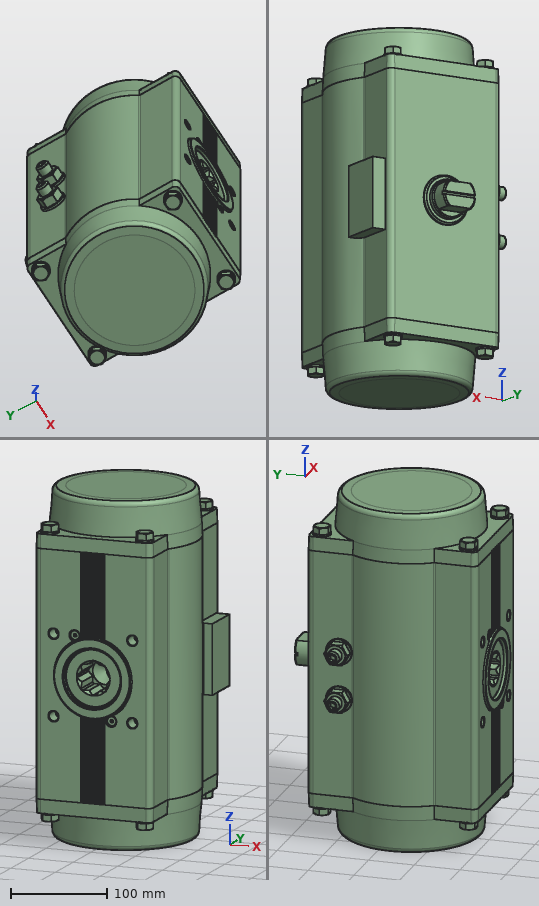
import cadquery as cq
import math


CYLINDER_RADIUS = 80.0
BLOCK_DEPTH = 92.5
BACK_HALF_WIDTH = 68.0
FRONT_HALF_WIDTH = 65.5
CORNER_RADIUS = 6.5
BLEND_RADIUS = 3.7
HOUSING_HALF_LENGTH = 134.0

PAD_END_X = 83.0
PAD_Y = (35.0, 84.0)
PAD_HALF_LENGTH = 38.0
PAD_RELIEF = 5.2

GROOVE_COUNT = 11
GROOVE_PITCH = 2.45
GROOVE_DEPTH = 0.7

MOUNT_HALF_SPACING = 44.0
MOUNT_DIAMETER = 10.5
MOUNT_DEPTH = 18.7
MOUTH_DIAMETER = 12.0
DRILL_POINT_ANGLE = 118
RING_HOLE_X = 20.5
RING_HOLE_DIAMETER = 10.0
RING_HOLE_DEPTH = 1.5
RING_PILOT_DIAMETER = 3.0
RING_PILOT_DEPTH = 5.5

FLANGE_THICKNESS = 15.5
FLANGE_DRAFT = 2.5
CAP_END = 187.0
CAP_RIM_RADIUS = 76.7
CAP_RIM_Z = 181.5
CAP_SHOULDER_RADIUS = 72.5
CAP_SHOULDER_Z = 186.7
CAP_FACE_RADIUS = 63.0

BOLT_BACK_X = 56.0
BOLT_FRONT_X = 53.0
BOLT_Y = 79.7
BOLT_WASHER_DIAMETER = 19.0
BOLT_WASHER_THICKNESS = 2.0
BOLT_HEX_CORNERS = 19.0
BOLT_HEAD_HEIGHT = 7.5

HEX_TOP_RATIO = 0.82
HEX_CHAMFER_ANGLE = 30

RING_DIAMETER = 85.7
RING_RECESS_DIAMETER = 88.0
RING_FACE_Y = -95.0
RING_DEPTH = 7.5
RING_OUTER_CHAMFER = 0.7
RING_BORE_CHAMFER = 0.95

JOURNAL_DIAMETER = 64.5
JOURNAL_FACE_Y = -91.3
JOURNAL_LENGTH = 52.5
JOURNAL_CHAMFER = 2.0
SHAFT_DIAMETER = 39.0
SHAFT_END_Y = 122.0
SHAFT_CHAMFER = 1.5
FLATS_WIDTH = 27.0
FLATS_START_Y = 102.0
SLOT_WIDTH = 3.5
SLOT_DEPTH = 3.7
SOCKET_SQUARE = 28.0
SOCKET_MOUTH_DIAMETER = 37.5
SOCKET_DEPTH = 33.5

WASHER_DIAMETER = 53.0
WASHER_THICKNESS = 3.5
WASHER_CHAMFER = 2.0
SNAP_DIAMETER = 42.0
SNAP_THICKNESS = 6.5
SNAP_CHAMFER = 1.5

STOP_Y = 57.0
STOP_HALF_SPACING = 26.2
STOP_END_X = -92.8
STOP_DIAMETER = 14.2
STOP_CHAMFER = 2.0
STOP_EMBEDDED = 22.5
STOP_SOCKET_CORNERS = 8.2
STOP_SOCKET_DEPTH = 5.5
STOP_WASHER_DIAMETER = 28.0
STOP_WASHER_THICKNESS = 2.5
STOP_NUT_CORNERS = 26.0
STOP_NUT_HEIGHT = 11.0


def cylinder_y(diameter, y_start, y_end, x=0, z=0):
    """Cylinder along Y between two Y positions."""
    base = cq.Plane(origin=(x, y_start, z), xDir=(1, 0, 0), normal=(0, 1, 0))
    return cq.Workplane(base).circle(diameter / 2).extrude(y_end - y_start)


def cone_y(base_diameter, tip_diameter, y_start, x=0, z=0):
    """45-degree countersink tool narrowing from y_start in +Y."""
    height = (base_diameter - tip_diameter) / 2
    profile = [(0, 0), (base_diameter / 2, 0), (tip_diameter / 2, height), (0, height)]
    cone = cq.Workplane("XY").polyline(profile).close().revolve(360, (0, 0, 0), (0, 1, 0))
    return cone.translate((x, y_start, z))


def drilled_hole(diameter, depth, x, z, y_face):
    """Hole tool going in +Y from y_face, ending in a drill point."""
    radius = diameter / 2
    point = radius / math.tan(math.radians(DRILL_POINT_ANGLE / 2))
    profile = cq.Workplane("XY").polyline([(0, 0), (radius, 0), (radius, depth), (0, depth + point)]).close()
    return profile.revolve(360, (0, 0, 0), (0, 1, 0)).translate((x, y_face, z))


def chamfered_hexagon(corners, height):
    """Hexagonal prism along +Z, the corners of its far end turned off at a slope of 30 degrees."""
    top_radius = HEX_TOP_RATIO * corners / 2
    drop = (corners / 2 - top_radius) * math.tan(math.radians(HEX_CHAMFER_ANGLE))
    profile = [(0, 0), (corners / 2, 0), (corners / 2, height - drop), (top_radius, height), (0, height)]
    turned = cq.Workplane("XZ").polyline(profile).close().revolve(360, (0, 0, 0), (0, 1, 0))
    return cq.Workplane("XY").polygon(6, corners).extrude(height).intersect(turned)


def body_profile(length, draft):
    """Cylinder and two corner-rounded blocks along +Z, narrowing by the draft angle."""
    solid = cq.Workplane("XY").circle(CYLINDER_RADIUS).extrude(length, taper=draft)
    for half_width, side in ((BACK_HALF_WIDTH, 1), (FRONT_HALF_WIDTH, -1)):
        outline = cq.Sketch().rect(2 * half_width, BLOCK_DEPTH).vertices().fillet(CORNER_RADIUS)
        block = cq.Workplane("XY").center(0, side * BLOCK_DEPTH / 2).placeSketch(outline)
        solid = solid.union(block.extrude(length, taper=draft))
    return solid


def pinion_blank():
    """Journal and shaft without socket, flats or slot."""
    journal = cylinder_y(JOURNAL_DIAMETER, JOURNAL_FACE_Y, JOURNAL_FACE_Y + JOURNAL_LENGTH)
    shaft = cylinder_y(SHAFT_DIAMETER, JOURNAL_FACE_Y, SHAFT_END_Y)
    return journal.faces("<Y").chamfer(JOURNAL_CHAMFER).union(shaft.faces(">Y").chamfer(SHAFT_CHAMFER))


def make_pinion():
    pinion = pinion_blank()
    flats_length = SHAFT_END_Y - FLATS_START_Y
    for side in (1, -1):
        z = side * (FLATS_WIDTH + SHAFT_DIAMETER) / 2
        waste = cq.Workplane("XY").box(2 * SHAFT_DIAMETER, flats_length, SHAFT_DIAMETER)
        pinion = pinion.cut(waste.translate((0, FLATS_START_Y + flats_length / 2, z)))
    slot = cq.Workplane("XY").box(2 * SHAFT_DIAMETER, 2 * SLOT_DEPTH, SLOT_WIDTH)
    pinion = pinion.cut(slot.translate((0, SHAFT_END_Y, 0)))

    square = cq.Workplane("XY").box(SOCKET_SQUARE, SOCKET_DEPTH, SOCKET_SQUARE)
    square = square.translate((0, JOURNAL_FACE_Y + SOCKET_DEPTH / 2, 0))
    star = square.union(square.rotate((0, 0, 0), (0, 1, 0), 45))
    star = star.intersect(cylinder_y(SOCKET_MOUTH_DIAMETER, JOURNAL_FACE_Y, JOURNAL_FACE_Y + SOCKET_DEPTH))
    pinion = pinion.cut(star)
    pinion = pinion.cut(drilled_hole(SOCKET_SQUARE, SOCKET_DEPTH, 0, 0, JOURNAL_FACE_Y))
    return pinion.cut(cone_y(SOCKET_MOUTH_DIAMETER, SOCKET_SQUARE, JOURNAL_FACE_Y))


def make_housing():
    housing = body_profile(2 * HOUSING_HALF_LENGTH, 0).translate((0, 0, -HOUSING_HALF_LENGTH))

    for half_width, side in ((BACK_HALF_WIDTH, 1), (FRONT_HALF_WIDTH, -1)):
        y = side * math.sqrt(CYLINDER_RADIUS**2 - half_width**2)
        for x in (half_width, -half_width):
            housing = housing.edges(cq.NearestToPointSelector((x, y, 0))).fillet(BLEND_RADIUS)

    pad_outline = [
        (0, PAD_Y[1]),
        (PAD_END_X, PAD_Y[1]),
        (PAD_END_X, PAD_Y[0]),
        (BACK_HALF_WIDTH + PAD_RELIEF, PAD_Y[0]),
        (BACK_HALF_WIDTH, PAD_Y[0] + PAD_RELIEF),
        (0, PAD_Y[0] + PAD_RELIEF),
    ]
    pad = cq.Workplane("XY").polyline(pad_outline).close().extrude(PAD_HALF_LENGTH, both=True)
    housing = housing.union(pad)

    groove_points = [(-GROOVE_COUNT * GROOVE_PITCH / 2, -BLOCK_DEPTH)]
    for i in range(GROOVE_COUNT):
        left = (i - GROOVE_COUNT / 2) * GROOVE_PITCH
        groove_points.append((left + GROOVE_PITCH / 2, GROOVE_DEPTH - BLOCK_DEPTH))
        groove_points.append((left + GROOVE_PITCH, -BLOCK_DEPTH))
    grooves = cq.Workplane("XY").polyline(groove_points).close().extrude(HOUSING_HALF_LENGTH, both=True)
    housing = housing.cut(grooves)

    for x in (MOUNT_HALF_SPACING, -MOUNT_HALF_SPACING):
        for z in (MOUNT_HALF_SPACING, -MOUNT_HALF_SPACING):
            housing = housing.cut(cone_y(MOUTH_DIAMETER, MOUNT_DIAMETER, -BLOCK_DEPTH, x, z))
            housing = housing.cut(drilled_hole(MOUNT_DIAMETER, MOUNT_DEPTH, x, z, -BLOCK_DEPTH))

    for side in (1, -1):
        x, z = -side * RING_HOLE_X, side * MOUNT_HALF_SPACING
        housing = housing.cut(cone_y(MOUTH_DIAMETER, RING_HOLE_DIAMETER, -BLOCK_DEPTH, x, z))
        floor_y = RING_HOLE_DEPTH - BLOCK_DEPTH
        housing = housing.cut(cylinder_y(RING_HOLE_DIAMETER, -BLOCK_DEPTH, floor_y, x, z))
        housing = housing.cut(drilled_hole(RING_PILOT_DIAMETER, RING_PILOT_DEPTH, x, z, -BLOCK_DEPTH))

    housing = housing.cut(cylinder_y(RING_RECESS_DIAMETER, -BLOCK_DEPTH, RING_FACE_Y + RING_DEPTH))
    housing = housing.cut(cylinder_y(JOURNAL_DIAMETER, -BLOCK_DEPTH, JOURNAL_FACE_Y + JOURNAL_LENGTH))
    housing = housing.cut(pinion_blank())
    for z in (STOP_HALF_SPACING, -STOP_HALF_SPACING):
        housing = housing.cut(make_stop(z))
    return housing


def make_cap(end):
    """End cap with its bolt heads; end is 1 for the +Z cap and -1 for the -Z cap."""
    flange_top = HOUSING_HALF_LENGTH + FLANGE_THICKNESS
    cap = body_profile(FLANGE_THICKNESS, FLANGE_DRAFT).translate((0, 0, HOUSING_HALF_LENGTH))
    base_radius = CYLINDER_RADIUS - FLANGE_THICKNESS * math.tan(math.radians(FLANGE_DRAFT))
    dome = (
        cq.Workplane("XZ")
        .moveTo(0, HOUSING_HALF_LENGTH)
        .lineTo(base_radius, HOUSING_HALF_LENGTH)
        .lineTo(base_radius, flange_top)
        .lineTo(CAP_RIM_RADIUS, CAP_RIM_Z)
        .tangentArcPoint((CAP_SHOULDER_RADIUS, CAP_SHOULDER_Z), relative=False)
        .lineTo(CAP_FACE_RADIUS, CAP_END)
        .lineTo(0, CAP_END)
        .close()
        .revolve(360, (0, 0, 0), (0, 1, 0))
    )
    cap = cap.union(dome)
    washer = cq.Workplane("XY").circle(BOLT_WASHER_DIAMETER / 2).extrude(BOLT_WASHER_THICKNESS)
    hexagon = chamfered_hexagon(BOLT_HEX_CORNERS, BOLT_HEAD_HEIGHT).translate((0, 0, BOLT_WASHER_THICKNESS))
    bolt_head = washer.union(hexagon)
    for x, y in ((BOLT_BACK_X, BOLT_Y), (BOLT_FRONT_X, -BOLT_Y)):
        for side in (1, -1):
            cap = cap.union(bolt_head.translate((side * x, y, flange_top)))
    return cap if end > 0 else cap.mirror("XY")


def make_centring_ring():
    inner_end = RING_FACE_Y + RING_DEPTH
    ring = cylinder_y(RING_DIAMETER, RING_FACE_Y, inner_end).faces("<Y").chamfer(RING_OUTER_CHAMFER)
    bore = cylinder_y(JOURNAL_DIAMETER, RING_FACE_Y, inner_end)
    mouth = cone_y(JOURNAL_DIAMETER + 2 * RING_BORE_CHAMFER, JOURNAL_DIAMETER, RING_FACE_Y)
    return ring.cut(bore).cut(mouth)


def make_shaft_ring(diameter, y_start, thickness, chamfer):
    """Ring around the pinion shaft with its outer +Y edge chamfered."""
    ring = cylinder_y(diameter, y_start, y_start + thickness).faces(">Y").chamfer(chamfer)
    return ring.cut(cylinder_y(SHAFT_DIAMETER, y_start, y_start + thickness))


def make_stop(z):
    """Stop screw with its washer and lock nut, pointing in -X."""
    face_x = -BACK_HALF_WIDTH
    reach = face_x - STOP_END_X
    screw = cq.Workplane("XY").workplane(offset=-STOP_EMBEDDED).circle(STOP_DIAMETER / 2)
    screw = screw.extrude(STOP_EMBEDDED + reach).faces(">Z").chamfer(STOP_CHAMFER)
    washer = cq.Workplane("XY").circle(STOP_WASHER_DIAMETER / 2).extrude(STOP_WASHER_THICKNESS)
    nut = chamfered_hexagon(STOP_NUT_CORNERS, STOP_NUT_HEIGHT).rotate((0, 0, 0), (0, 0, 1), 90)
    nut = nut.translate((0, 0, STOP_WASHER_THICKNESS))
    socket = cq.Workplane("XY").workplane(offset=reach - STOP_SOCKET_DEPTH)
    socket = socket.polygon(6, STOP_SOCKET_CORNERS).extrude(STOP_SOCKET_DEPTH)
    stop = screw.union(washer).union(nut).cut(socket)
    return stop.rotate((0, 0, 0), (0, 1, 0), -90).translate((face_x, STOP_Y, z))


housing = make_housing()
caps = [make_cap(end) for end in (1, -1)]
pinion = make_pinion()
centring_ring = make_centring_ring()
thrust_washer = make_shaft_ring(WASHER_DIAMETER, BLOCK_DEPTH, WASHER_THICKNESS, WASHER_CHAMFER)
snap_ring = make_shaft_ring(SNAP_DIAMETER, BLOCK_DEPTH + WASHER_THICKNESS, SNAP_THICKNESS, SNAP_CHAMFER)
stops = [make_stop(z) for z in (STOP_HALF_SPACING, -STOP_HALF_SPACING)]

result = cq.Compound.makeCompound(
    [
        housing.val(),
        *[cap.val() for cap in caps],
        pinion.val(),
        centring_ring.val(),
        thrust_washer.val(),
        snap_ring.val(),
        *[stop.val() for stop in stops],
    ]
)